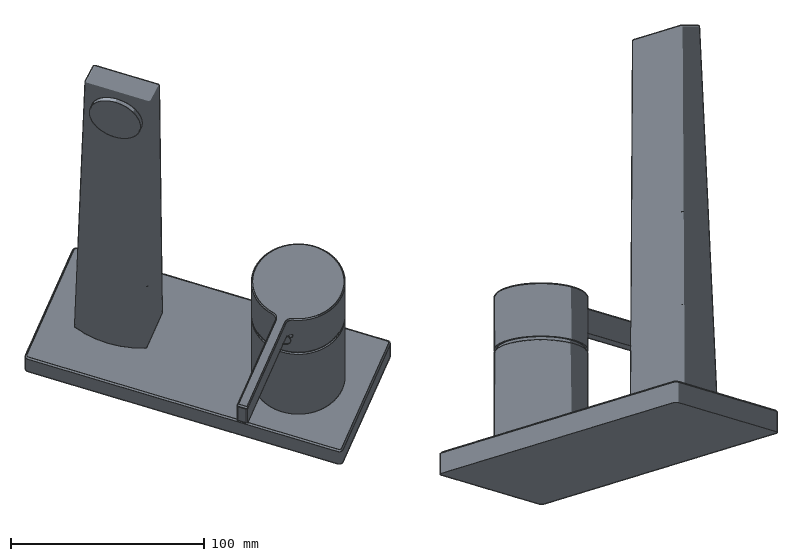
import cadquery as cq
import math

plate_length = 175.0
plate_width = 75.0
plate_height = 12.0
plate_corner = 2.2
plate_edge = 0.9

spout_peak = 217.0
spout_x = -49.9
spout_base_width = 40.0
spout_top_width = 36.6
spout_back = 14.5
spout_base_front = -10.5
spout_top_front = 0.7
spout_base_crown = 4.0
spout_top_crown = 0.2
spout_top_drop = 3.0
spout_edge = 1.0

button_radius = 14.0
button_z = 196.9
button_height = 2.4
button_embed = 2.2

mixer_x = -spout_x
mixer_radius = 24.3
mixer_top = 96.3
groove_bottom = 65.3
groove_top = 67.2
groove_depth = 1.0
cap_edge = 0.7

lever_width = 5.9
lever_reach = 85.0
lever_height = 13.7
lever_blend = 3.5
lever_edge = 0.7
lever_under_blend = 1.3
lever_root_width = 11.3

screw_radius = 4.5
screw_z = 77.0
screw_depth = 0.7


def make_plate():
    plate = cq.Workplane("XY").box(
        plate_length, plate_width, plate_height, centered=(True, True, False)
    )
    return plate.edges("|Z").fillet(plate_corner).faces(">Z").edges().chamfer(plate_edge)


def spout_section(plane, width, front, crown):
    """Three straight sides closed by a bowed front."""
    left = spout_x - width / 2
    right = spout_x + width / 2
    return (
        plane.moveTo(left, front)
        .lineTo(left, spout_back)
        .lineTo(right, spout_back)
        .lineTo(right, front)
        .threePointArc((spout_x, front - crown), (left, front))
        .close()
    )


def make_spout():
    base = spout_section(
        cq.Workplane("XY", origin=(0, 0, plate_height)), spout_base_width, spout_base_front, spout_base_crown
    )
    rise = spout_peak - plate_height
    spout = spout_section(
        base.workplane(offset=rise), spout_top_width, spout_top_front, spout_top_crown
    ).loft(ruled=True)

    slope_cut = (
        cq.Workplane("YZ", origin=(spout_x - spout_base_width, 0, 0))
        .moveTo(spout_top_front - spout_top_crown, spout_peak)
        .lineTo(spout_back, spout_peak - spout_top_drop)
        .lineTo(spout_back, spout_peak)
        .close()
        .extrude(2 * spout_base_width)
    )
    spout = spout.cut(slope_cut)
    return spout.edges("not(<Z)").fillet(spout_edge)


def make_button():
    base_y = spout_base_front - spout_base_crown
    top_y = spout_top_front - spout_top_crown
    rise = spout_peak - plate_height
    slope = (top_y - base_y) / rise
    face_y = base_y + slope * (button_z - plate_height)
    length = math.hypot(1, slope)
    outward = cq.Vector(0, -1 / length, slope / length)
    start = cq.Vector(spout_x, face_y, button_z) - outward * button_embed
    return cq.Workplane(
        cq.Solid.makeCylinder(button_radius, button_height + button_embed, start, outward)
    )


def mixer_cylinder(radius, bottom, top):
    return (
        cq.Workplane("XY", origin=(mixer_x, 0, bottom))
        .circle(radius)
        .extrude(top - bottom)
    )


def make_lever():
    """Lever bar whose root flares tangentially into the round cap."""
    half = lever_width / 2
    blend_x = half + lever_blend
    blend_reach = mixer_radius + lever_blend
    blend_y = -math.sqrt(blend_reach**2 - blend_x**2)
    root_x = blend_x * mixer_radius / blend_reach
    root_y = blend_y * mixer_radius / blend_reach
    mid_angle = (math.pi + math.atan2(-blend_y, -blend_x)) / 2
    mid_x = blend_x + lever_blend * math.cos(mid_angle)
    mid_y = blend_y + lever_blend * math.sin(mid_angle)
    lever = (
        cq.Workplane("XY", origin=(mixer_x, 0, mixer_top - lever_height))
        .moveTo(0, 0)
        .lineTo(root_x, root_y)
        .threePointArc((mid_x, mid_y), (half, blend_y))
        .lineTo(half, -lever_reach)
        .lineTo(-half, -lever_reach)
        .lineTo(-half, blend_y)
        .threePointArc((-mid_x, mid_y), (-root_x, root_y))
        .close()
        .extrude(lever_height)
    )
    return lever.faces("<Y").edges().chamfer(lever_edge)


def make_lever_underside():
    """Small wedge easing the underside of the lever into the cap."""
    bottom = mixer_top - lever_height
    return (
        cq.Workplane("YZ", origin=(mixer_x - lever_root_width / 2, 0, 0))
        .moveTo(0, bottom)
        .lineTo(-mixer_radius - lever_under_blend, bottom)
        .lineTo(-mixer_radius, bottom - lever_under_blend)
        .lineTo(0, bottom - lever_under_blend)
        .close()
        .extrude(lever_root_width)
    )


def make_mixer():
    body = mixer_cylinder(mixer_radius, plate_height, groove_bottom)
    neck = mixer_cylinder(mixer_radius - groove_depth, groove_bottom, groove_top)
    cap = mixer_cylinder(mixer_radius, groove_top, mixer_top)
    cap = cap.union(make_lever()).union(make_lever_underside())
    cap = cap.faces(">Z").edges().chamfer(cap_edge)
    screw_recess = (
        cq.Workplane("XZ", origin=(mixer_x, screw_depth - mixer_radius, screw_z))
        .circle(screw_radius)
        .extrude(mixer_radius)
    )
    return body.union(neck).union(cap.cut(screw_recess))


result = make_plate().union(make_spout()).union(make_button()).union(make_mixer())